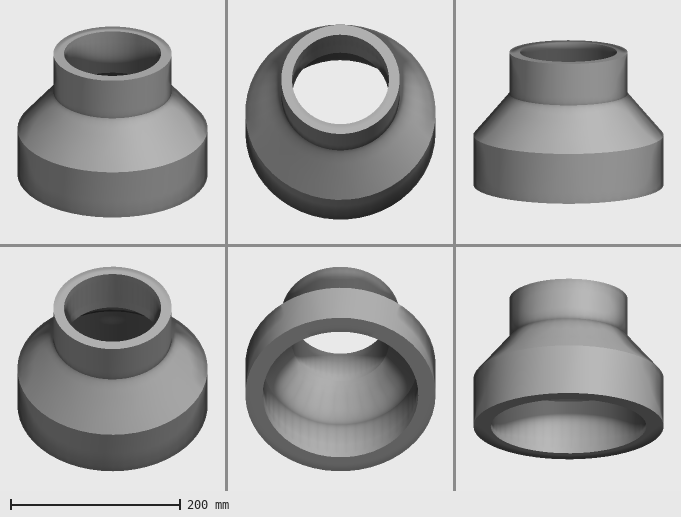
import cadquery as cq

large_diameter = 225.0
large_wall = 20.5
large_length = 60.0

small_diameter = 140.0
small_wall = 12.5
small_length = 50.0

cone_length = 50.0
bore_overrun = 5.0

large_radius = large_diameter / 2
small_radius = small_diameter / 2
large_bore_radius = large_radius - large_wall
small_bore_radius = small_radius - small_wall

cone_base_z = large_length
cone_top_z = cone_base_z + cone_length
total_height = cone_top_z + small_length
bore_cone_base_z = cone_base_z + bore_overrun
bore_cone_top_z = cone_top_z - bore_overrun

wall_section = (
    cq.Workplane("XZ")
    .moveTo(large_radius, 0)
    .lineTo(large_radius, cone_base_z)
    .lineTo(small_radius, cone_top_z)
    .lineTo(small_radius, total_height)
    .lineTo(small_bore_radius, total_height)
    .lineTo(small_bore_radius, bore_cone_top_z)
    .lineTo(large_bore_radius, bore_cone_base_z)
    .lineTo(large_bore_radius, 0)
    .close()
)

result = wall_section.revolve(360, (0, 0, 0), (0, 1, 0))